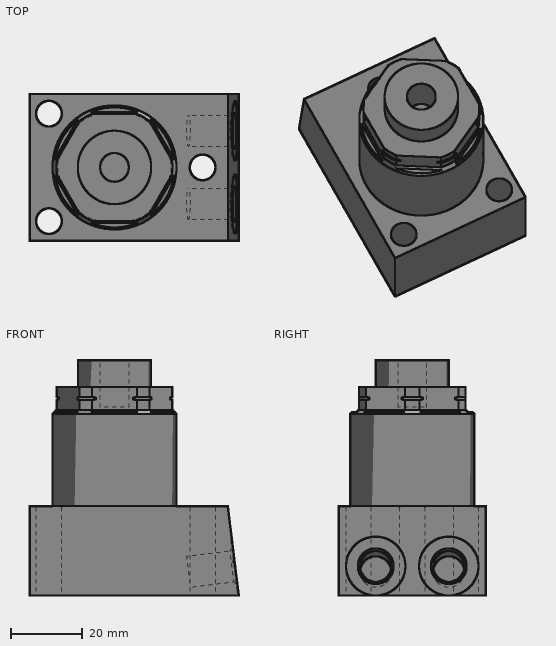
import cadquery as cq
import math

length = 58.7
width = 41.25
base_height = 25.1
slope_angle = 7.0
slope_run = base_height * math.tan(math.radians(slope_angle))

total_height = 66.1
axis_x = 23.8
body_diameter = 34.85
body_radius = body_diameter / 2
body_top = 51.0
head_radius = 16.3
head_bottom = body_top + body_radius - head_radius
head_top = 58.6
shank_radius = 10.3
shank_bore_diameter = 8.1
shank_bore_depth = 13.2

flat_count = 6
flat_distance = 15.0
flat_foot = 0.6
groove_height = 55.35
groove_radius = 0.4

mount_diameter = 7.15
left_hole_x = 5.4
left_hole_y = 15.1
right_hole_x = 48.55

port_y = 10.25
port_height = 8.4
spotface_radius = 8.3
spotface_depth = 0.3
port_mouth_radius = 5.0
port_bore_radius = 4.35
port_depth = 13.2


def make_base():
    outline = [(0, 0), (length, 0), (length - slope_run, base_height), (0, base_height)]
    block = cq.Workplane("XZ").polyline(outline).close().extrude(width / 2, both=True)
    mounts = [(left_hole_x, left_hole_y), (left_hole_x, -left_hole_y), (right_hole_x, 0)]
    holes = cq.Workplane("XY").pushPoints(mounts).circle(mount_diameter / 2).extrude(base_height)
    return block.cut(holes)


def make_flat_cutter():
    """Material removed outside one flat, above the foot that runs out at 45 degrees."""
    outer = body_radius + flat_foot
    section = [
        (flat_distance, head_top),
        (flat_distance, head_bottom),
        (flat_distance + flat_foot, head_bottom - flat_foot),
        (outer, head_bottom - flat_foot),
        (outer, head_top),
    ]
    return cq.Workplane("XZ").polyline(section).close().extrude(body_radius, both=True)


def make_tower():
    profile = (
        cq.Workplane("XZ")
        .moveTo(0, base_height)
        .lineTo(body_radius, base_height)
        .lineTo(body_radius, body_top)
        .lineTo(head_radius, head_bottom)
        .lineTo(head_radius, groove_height - groove_radius)
        .threePointArc(
            (head_radius - groove_radius, groove_height),
            (head_radius, groove_height + groove_radius),
        )
        .lineTo(head_radius, head_top)
        .lineTo(shank_radius, head_top)
        .lineTo(shank_radius, total_height)
        .lineTo(0, total_height)
        .close()
    )
    tower = profile.revolve(360, (0, 0), (0, 1))
    cutter = make_flat_cutter()
    for index in range(flat_count):
        angle = (index + 0.5) * 360 / flat_count
        tower = tower.cut(cutter.rotate((0, 0, 0), (0, 0, 1), angle))
    tower = tower.faces(">Z").workplane(origin=(0, 0, total_height))
    tower = tower.hole(shank_bore_diameter, shank_bore_depth)
    return tower.translate((axis_x, 0, 0))


def make_port(y):
    """Spotface and chamfered blind bore, turned about the normal of the sloping end."""
    chamfer_end = spotface_depth + port_mouth_radius - port_bore_radius
    profile = [
        (0, 0),
        (spotface_radius, 0),
        (spotface_radius, -spotface_depth),
        (port_mouth_radius, -spotface_depth),
        (port_bore_radius, -chamfer_end),
        (port_bore_radius, -port_depth),
        (0, -port_depth),
    ]
    port = cq.Workplane("XZ").polyline(profile).close().revolve(360, (0, 0), (0, 1))
    port = port.rotate((0, 0, 0), (0, 1, 0), 90 - slope_angle)
    slope = math.radians(slope_angle)
    center_x = length - port_height * math.sin(slope)
    return port.translate((center_x, y, port_height * math.cos(slope)))


result = make_base().union(make_tower())
for side in (-1, 1):
    result = result.cut(make_port(side * port_y))